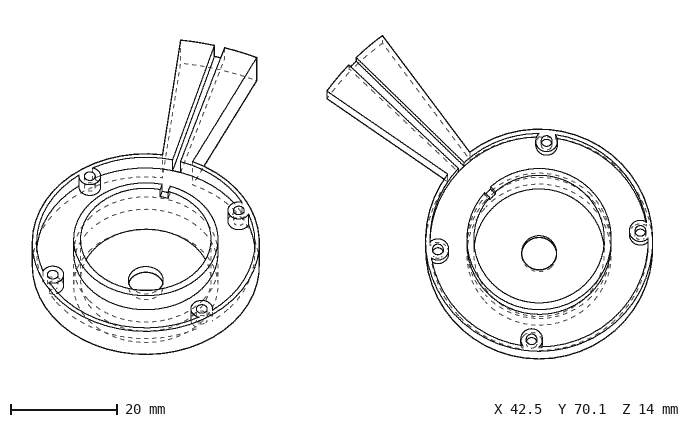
import cadquery as cq
import math

total_height = 14.0
flange_bottom = 6.1
flange_top = 13.05
tray_depth = 3.2
tray_floor = flange_top - tray_depth
cup_floor = 1.75
notch_depth = 2.1

flange_radius = 21.25
tray_radius = 20.4
hub_diameter = 27.0
cup_diameter = 24.4
bore_diameter = 6.5

post_diameter = 4.1
post_hole_diameter = 2.0
post_x = 14.5
post_y = 12.3

handle_tip_radius = 70.1 - flange_radius
handle_tip_half_width = 7.4
handle_root_half_width = 2.95
handle_root_y = math.sqrt(flange_radius**2 - handle_root_half_width**2)
groove_depth = 3.3
groove_floor = flange_top - groove_depth
groove_tip_half_width = 1.0
groove_root_half_width = 0.8


def cylinder(diameter, bottom, top):
    """Solid cylinder on the Z axis."""
    return cq.Workplane("XY").workplane(offset=bottom).circle(diameter / 2).extrude(top - bottom)


def tapered_arm(root_half_width, tip_half_width, root_y, bottom, top):
    """Arm along +Y with straight sides and a tip concentric with the flange."""
    tip_y = math.sqrt(handle_tip_radius**2 - tip_half_width**2)
    return (
        cq.Workplane("XY")
        .workplane(offset=bottom)
        .moveTo(-root_half_width, 0)
        .lineTo(-root_half_width, root_y)
        .lineTo(-tip_half_width, tip_y)
        .threePointArc((0, handle_tip_radius), (tip_half_width, tip_y))
        .lineTo(root_half_width, root_y)
        .lineTo(root_half_width, 0)
        .close()
        .extrude(top - bottom)
    )


handle = tapered_arm(
    handle_root_half_width, handle_tip_half_width, handle_root_y, flange_bottom, flange_top
)
body = cylinder(2 * flange_radius, flange_bottom, flange_top).union(handle)
body = body.cut(cylinder(2 * tray_radius, tray_floor, flange_top))

groove = tapered_arm(
    groove_root_half_width, groove_tip_half_width, tray_radius, groove_floor, flange_top
)
body = body.cut(groove.cut(cylinder(2 * tray_radius, groove_floor, flange_top)))

post_centres = [(x, y) for x in (-post_x, post_x) for y in (-post_y, post_y)]
post_base = cq.Workplane("XY").workplane(offset=tray_floor).pushPoints(post_centres)
body = body.union(post_base.circle(post_diameter / 2).extrude(tray_depth))
body = body.cut(post_base.circle(post_hole_diameter / 2).extrude(tray_depth))

body = body.union(cylinder(hub_diameter, 0, total_height))
body = body.cut(cylinder(cup_diameter, cup_floor, total_height))
body = body.cut(cylinder(bore_diameter, 0, cup_floor))

notch = cq.Workplane("XY").box(
    2 * groove_root_half_width, hub_diameter / 2, notch_depth, centered=(True, False, False)
)
result = body.cut(notch.translate((0, 0, total_height - notch_depth)))